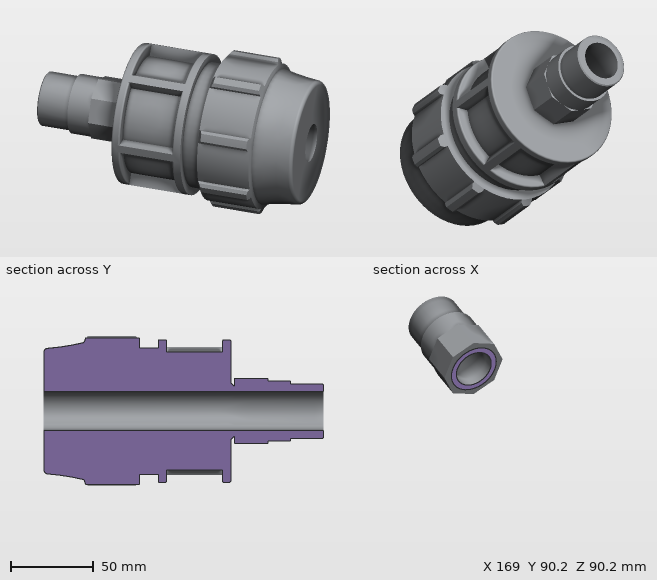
import cadquery as cq
import math

length = 169.0
bore_dia = 23.3

spigot_dia = 33.3
spigot_end_x = 20.0
spigot_chamfer = 0.7
collar_dia = 36.5
octagon_start_x = 33.6
octagon_end_x = 54.0
octagon_across_flats = 36.5
octagon_sides = 8
neck_small_dia = 30.8

drum_start_x = 56.0
drum_end_x = 99.9
flange_dia = 86.4
flange_rounding = 1.0
pocket_start_x = 61.2
pocket_end_x = 94.6
pocket_floor_dia = 71.7
web_width = 5.0
web_count = 6

barrel_dia = 76.7

nut_start_x = 111.0
nut_dia = 89.0
nut_cone_end_x = 144.8
nut_cone_end_dia = 83.1

grip_count = 8
grip_tip_dia = 95.8
grip_tip_start_x = 113.4
grip_tip_end_x = 142.5
grip_tip_width = 4.7
grip_base_width = 7.8
grip_shoulder_dia = 92.1
grip_first_angle = 180.0 / grip_count

tail_mid_x = 155.8
tail_mid_dia = 78.8
tail_end_x = 166.6
tail_end_dia = 76.2
end_face_dia = 71.3


def cylinder(start_x, end_x, diameter):
    """Solid cylinder along X."""
    return cq.Workplane("YZ", origin=(start_x, 0, 0)).circle(diameter / 2).extrude(end_x - start_x)


def revolve_about_x(profile):
    """Turn a closed (x, radius) outline about the X axis."""
    return profile.close().revolve(360, (0, 0, 0), (1, 0, 0))


def make_stem():
    spigot = cylinder(0, spigot_end_x, spigot_dia).faces("<X").chamfer(spigot_chamfer)
    collar = cylinder(spigot_end_x, octagon_start_x, collar_dia)
    corner_dia = octagon_across_flats / math.cos(math.pi / octagon_sides)
    octagon = (
        cq.Workplane("YZ", origin=(octagon_start_x, 0, 0))
        .polygon(octagon_sides, corner_dia)
        .extrude(octagon_end_x - octagon_start_x)
    )
    small_radius = neck_small_dia / 2
    large_radius = small_radius + drum_start_x - octagon_end_x
    neck = revolve_about_x(
        cq.Workplane("XY")
        .moveTo(octagon_end_x, 0)
        .lineTo(octagon_end_x, small_radius)
        .lineTo(drum_start_x, large_radius)
        .lineTo(drum_start_x, 0)
    )
    return spigot.union(collar).union(octagon).union(neck)


def make_drum():
    left_flange = cylinder(drum_start_x, pocket_start_x, flange_dia).edges().fillet(flange_rounding)
    right_flange = cylinder(pocket_end_x, drum_end_x, flange_dia).faces("<X").edges().fillet(flange_rounding)
    drum = left_flange.union(right_flange).union(cylinder(pocket_start_x, pocket_end_x, pocket_floor_dia))

    web_start_x = pocket_start_x - flange_rounding
    web_end_x = pocket_end_x + flange_rounding
    web_length = web_end_x - web_start_x
    web_block = cq.Workplane("XY").box(web_length, flange_dia / 2, web_width, centered=(False, False, True))
    web_block = web_block.translate((web_start_x, 0, 0))
    webs = cq.Workplane("XY")
    for index in range(web_count):
        webs = webs.add(web_block.rotate((0, 0, 0), (1, 0, 0), index * 360.0 / web_count))
    webs = webs.combine().intersect(cylinder(web_start_x, web_end_x, flange_dia))
    return drum.union(webs)


def make_nut():
    body = cylinder(nut_start_x, nut_cone_end_x, nut_dia)
    tip_radius = grip_tip_dia / 2
    shoulder_radius = grip_shoulder_dia / 2
    root_radius = barrel_dia / 2
    grip_bar = (
        cq.Workplane("YZ", origin=(nut_start_x, 0, 0))
        .moveTo(root_radius, -grip_base_width / 2)
        .lineTo(shoulder_radius, -grip_base_width / 2)
        .lineTo(tip_radius, -grip_tip_width / 2)
        .lineTo(tip_radius, grip_tip_width / 2)
        .lineTo(shoulder_radius, grip_base_width / 2)
        .lineTo(root_radius, grip_base_width / 2)
        .close()
        .extrude(nut_cone_end_x - nut_start_x)
    )
    for index in range(grip_count):
        angle = grip_first_angle + index * 360.0 / grip_count
        body = body.union(grip_bar.rotate((0, 0, 0), (1, 0, 0), angle))

    envelope = revolve_about_x(
        cq.Workplane("XY")
        .moveTo(nut_start_x, 0)
        .lineTo(nut_start_x, nut_dia / 2)
        .lineTo(grip_tip_start_x, tip_radius)
        .lineTo(grip_tip_end_x, tip_radius)
        .lineTo(nut_cone_end_x, nut_cone_end_dia / 2)
        .lineTo(nut_cone_end_x, 0)
    )
    return body.intersect(envelope)


def make_tail():
    end_radius = end_face_dia / 2
    rounding_mid_x = tail_end_x + (length - tail_end_x) * math.sin(math.pi / 4)
    rounding_mid_radius = end_radius + (tail_end_dia / 2 - end_radius) * math.cos(math.pi / 4)
    return revolve_about_x(
        cq.Workplane("XY")
        .moveTo(nut_cone_end_x, 0)
        .lineTo(nut_cone_end_x, nut_cone_end_dia / 2)
        .threePointArc((tail_mid_x, tail_mid_dia / 2), (tail_end_x, tail_end_dia / 2))
        .threePointArc((rounding_mid_x, rounding_mid_radius), (length, end_radius))
        .lineTo(length, 0)
    )


barrel = cylinder(drum_end_x, nut_start_x, barrel_dia)
result = make_stem().union(make_drum()).union(barrel).union(make_nut()).union(make_tail())
result = result.cut(cylinder(0, length, bore_dia))

result = result.translate((-length / 2, 0, 0))